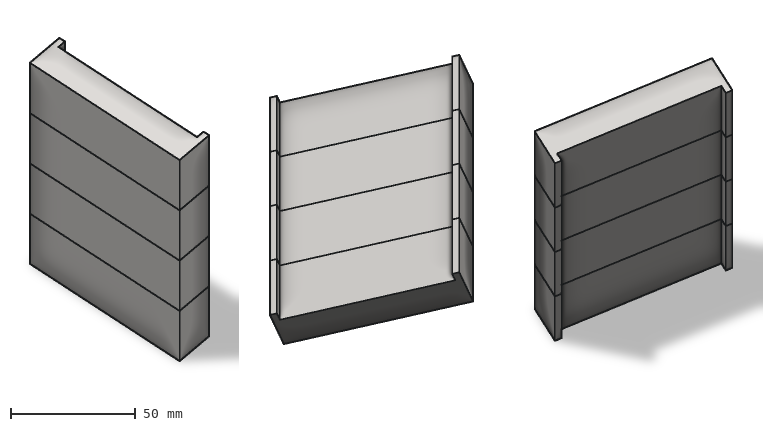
import cadquery as cq

stack_height = 120.0
block_count = 4
width = 80.0
depth = 18.0

lip_width = 3.0
lip_depth = 4.0

block_height = stack_height / block_count
body_depth = depth - lip_depth
recess_width = width - 2 * lip_width


def make_block(bottom_z):
    """One U-section block: a plain slab with a lip at each end of its back."""
    slab = cq.Workplane("XY").box(width, depth, block_height, centered=(True, False, False))
    recess = (
        cq.Workplane("XY")
        .box(recess_width, lip_depth, block_height, centered=(True, False, False))
        .translate((0, body_depth, 0))
    )
    return slab.cut(recess).translate((0, 0, bottom_z))


blocks = [make_block(index * block_height) for index in range(block_count)]

result = cq.Compound.makeCompound([block.val() for block in blocks])